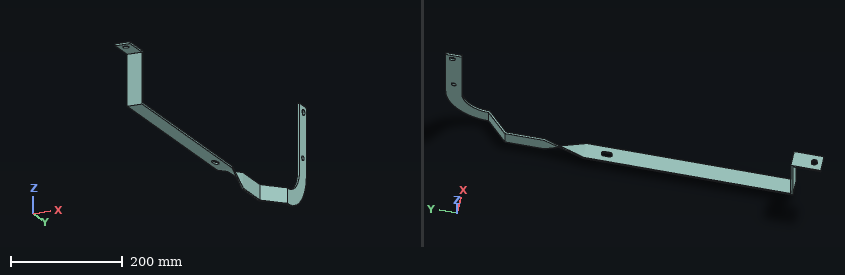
import cadquery as cq

strip_width = 30.0
thickness = 4.0
half_width = strip_width / 2
half_thickness = thickness / 2

total_length = 696.0
total_height = 207.0
total_width = 54.0

shelf_length = 55.0
twist_start = 433.5
twist_end = 508.0
joggle_start = 579.0

shelf_top = 115.5
flat_bottom = half_width - half_thickness
flat_top = flat_bottom + thickness
arm_x = total_width - half_thickness
joggle_offset = arm_x - half_width
joggle_end = joggle_start + joggle_offset
miter_shift = half_thickness * (2**0.5 - 1)
bend_radius = 78.0
inner_bend_radius = bend_radius - strip_width

shelf_hole_y = 14.5
shelf_hole_diameter = 10.5
slot_y = 394.0
slot_length = 19.5
slot_width = 9.0
upper_hole_diameter = 10.5
upper_hole_y = 683.5
upper_hole_z = 194.0
lower_hole_diameter = 8.5
lower_hole_y = 681.0
lower_hole_z = 106.5


def make_flat_strip():
    """Shelf, web and long flat run as one Z-shaped bent strip."""
    web_front = shelf_length - thickness
    outline = [
        (0, shelf_top),
        (shelf_length, shelf_top),
        (shelf_length, flat_top),
        (twist_start, flat_top),
        (twist_start, flat_bottom),
        (web_front, flat_bottom),
        (web_front, shelf_top - thickness),
        (0, shelf_top - thickness),
    ]
    return cq.Workplane("YZ").polyline(outline).close().extrude(strip_width)


def make_twist():
    """Quarter twist that carries the flat run's +X edge to the bottom."""
    flat_end = []
    upright_end = []
    for across, through in [(-1, -1), (1, -1), (1, 1), (-1, 1)]:
        wide = across * half_width
        thin = through * half_thickness
        flat_end.append(cq.Vector(half_width + wide, twist_start, half_width + thin))
        upright_end.append(cq.Vector(half_width + thin, twist_end, half_width - wide))
    end_wires = [cq.Wire.makePolygon(points, close=True) for points in (flat_end, upright_end)]
    faces = [cq.Face.makeFromWires(wire) for wire in end_wires]
    for index in range(len(flat_end)):
        flat_edge = cq.Edge.makeLine(flat_end[index - 1], flat_end[index])
        upright_edge = cq.Edge.makeLine(upright_end[index - 1], upright_end[index])
        faces.append(cq.Face.makeRuledSurface(flat_edge, upright_edge))
    return cq.Workplane(obj=cq.Solid.makeSolid(cq.Shell.makeShell(faces)).fix())


def make_upright_arm():
    """Joggled upright strip, trimmed to the curved outline of the arm."""
    path_shape = [
        (half_width - half_thickness, twist_end),
        (half_width + half_thickness, twist_end),
        (half_width + half_thickness, joggle_start - miter_shift),
        (arm_x + half_thickness, joggle_end - miter_shift),
        (arm_x + half_thickness, total_length),
        (arm_x - half_thickness, total_length),
        (arm_x - half_thickness, joggle_end + miter_shift),
        (half_width - half_thickness, joggle_start + miter_shift),
    ]
    joggled_plate = cq.Workplane("XY").polyline(path_shape).close().extrude(total_height)

    bend_y = total_length - bend_radius
    diagonal = 0.5**0.5
    side_outline = (
        cq.Workplane("YZ")
        .moveTo(twist_end, 0)
        .lineTo(bend_y, 0)
        .threePointArc(
            (bend_y + bend_radius * diagonal, bend_radius * (1 - diagonal)),
            (total_length, bend_radius),
        )
        .lineTo(total_length, total_height)
        .lineTo(total_length - strip_width, total_height)
        .lineTo(total_length - strip_width, bend_radius)
        .threePointArc(
            (bend_y + inner_bend_radius * diagonal, bend_radius - inner_bend_radius * diagonal),
            (bend_y, strip_width),
        )
        .lineTo(twist_end, strip_width)
        .close()
        .extrude(total_width)
    )
    return joggled_plate.intersect(side_outline)


def make_arm_hole(y, z, diameter):
    """Cutter along X through the upright arm."""
    return cq.Workplane("YZ").center(y, z).circle(diameter / 2).extrude(total_width)


shelf_hole = (
    cq.Workplane("XY", origin=(half_width, shelf_hole_y, 0))
    .circle(shelf_hole_diameter / 2)
    .extrude(total_height)
)
slot = (
    cq.Workplane("XY", origin=(half_width, slot_y, 0))
    .slot2D(slot_length, slot_width, 90)
    .extrude(total_height)
)

result = (
    make_flat_strip()
    .union(make_twist())
    .union(make_upright_arm())
    .cut(shelf_hole)
    .cut(slot)
    .cut(make_arm_hole(upper_hole_y, upper_hole_z, upper_hole_diameter))
    .cut(make_arm_hole(lower_hole_y, lower_hole_z, lower_hole_diameter))
)